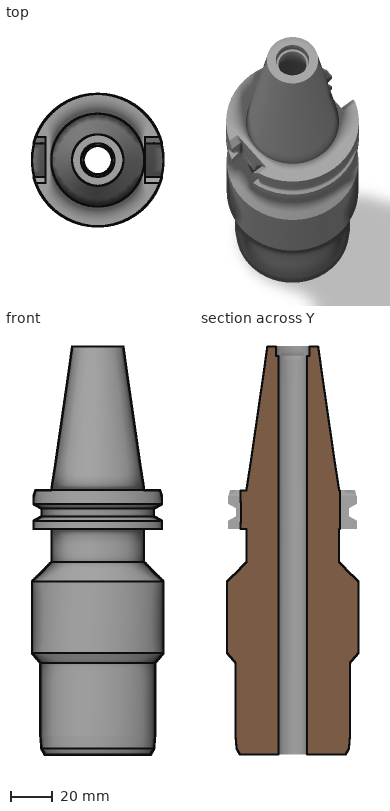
import cadquery as cq
import math

TOTAL_LENGTH = 195.25
TAPER_LENGTH = 68.25
GAUGE_RADIUS = 44.45 / 2
TAPER_PER_LENGTH = 7 / 24
GAUGE_Z = TOTAL_LENGTH - TAPER_LENGTH
TAPER_TOP_RADIUS = GAUGE_RADIUS - TAPER_LENGTH * TAPER_PER_LENGTH / 2

FLANGE_RADIUS = 63.5 / 2
GAUGE_TO_FLANGE_TOP = 0.5
GAUGE_TO_GROOVE_CENTRE = 11.15
GAUGE_TO_FLANGE_BOTTOM = 19.05
FLANGE_TOP_Z = GAUGE_Z - GAUGE_TO_FLANGE_TOP
GROOVE_CENTRE_Z = GAUGE_Z - GAUGE_TO_GROOVE_CENTRE
FLANGE_BOTTOM_Z = GAUGE_Z - GAUGE_TO_FLANGE_BOTTOM
GROOVE_FLOOR_RADIUS = 56.3 / 2
GROOVE_FLOOR_WIDTH = 3.8
GROOVE_WALL_ANGLE = 30

KEYWAY_WIDTH = 16.1
KEYWAY_CHAMFER = 3.0
DEEP_KEYWAY_FLOOR = 22.6
SHALLOW_KEYWAY_FLOOR = 25.0
SPOT_DIAMETER = 10.0
SPOT_DEPTH = 0.1

NECK_RADIUS = GAUGE_RADIUS
BODY_RADIUS = 63.0 / 2
SHOULDER_TOP_Z = 92.2
SHOULDER_BOTTOM_Z = SHOULDER_TOP_Z - (BODY_RADIUS - NECK_RADIUS)
BODY_BOTTOM_Z = 48.6
NOSE_TOP_Z = 44.0
NOSE_RADIUS = 55.0 / 2
NOSE_TAPER_TOP_Z = 9.0
NOSE_TAPER_BOTTOM_RADIUS = 54.0 / 2
NOSE_CHAMFER_HEIGHT = 3.0
NOSE_END_RADIUS = 50.5 / 2

BORE_DIAMETER = 13.5
COUNTERBORE_DIAMETER = 16.0
COUNTERBORE_DEPTH = 4.5


def make_body():
    """Revolve the half profile of the holder about Z, starting from the +Y side."""
    groove_depth = FLANGE_RADIUS - GROOVE_FLOOR_RADIUS
    half_floor = GROOVE_FLOOR_WIDTH / 2
    half_mouth = half_floor + groove_depth * math.tan(math.radians(GROOVE_WALL_ANGLE))
    profile = [
        (0, 0),
        (NOSE_END_RADIUS, 0),
        (NOSE_TAPER_BOTTOM_RADIUS, NOSE_CHAMFER_HEIGHT),
        (NOSE_RADIUS, NOSE_TAPER_TOP_Z),
        (NOSE_RADIUS, NOSE_TOP_Z),
        (BODY_RADIUS, BODY_BOTTOM_Z),
        (BODY_RADIUS, SHOULDER_BOTTOM_Z),
        (NECK_RADIUS, SHOULDER_TOP_Z),
        (NECK_RADIUS, FLANGE_BOTTOM_Z),
        (FLANGE_RADIUS, FLANGE_BOTTOM_Z),
        (FLANGE_RADIUS, GROOVE_CENTRE_Z - half_mouth),
        (GROOVE_FLOOR_RADIUS, GROOVE_CENTRE_Z - half_floor),
        (GROOVE_FLOOR_RADIUS, GROOVE_CENTRE_Z + half_floor),
        (FLANGE_RADIUS, GROOVE_CENTRE_Z + half_mouth),
        (FLANGE_RADIUS, FLANGE_TOP_Z),
        (GAUGE_RADIUS, FLANGE_TOP_Z),
        (GAUGE_RADIUS, GAUGE_Z),
        (TAPER_TOP_RADIUS, TOTAL_LENGTH),
        (0, TOTAL_LENGTH),
    ]
    return cq.Workplane("YZ").polyline(profile).close().revolve(360, (0, 0), (0, 1))


def make_keyway(side, floor_distance):
    """Slot through the flange, chamfered at its upper edges; side is +1 (+X) or -1 (-X)."""
    half_width = KEYWAY_WIDTH / 2
    half_mouth = half_width + KEYWAY_CHAMFER
    section = [
        (-half_width, FLANGE_BOTTOM_Z),
        (half_width, FLANGE_BOTTOM_Z),
        (half_width, FLANGE_TOP_Z - KEYWAY_CHAMFER),
        (half_mouth, FLANGE_TOP_Z),
        (-half_mouth, FLANGE_TOP_Z),
        (-half_width, FLANGE_TOP_Z - KEYWAY_CHAMFER),
    ]
    return (
        cq.Workplane("YZ", origin=(side * floor_distance, 0, 0))
        .polyline(section)
        .close()
        .extrude(side * FLANGE_RADIUS)
    )


def make_spot():
    """Shallow round spot in the floor of the -X keyway, level with the groove."""
    return (
        cq.Workplane("YZ", origin=(-SHALLOW_KEYWAY_FLOOR, 0, GROOVE_CENTRE_Z))
        .circle(SPOT_DIAMETER / 2)
        .extrude(SPOT_DEPTH)
    )


def make_bore():
    """Through bore with a counterbore at the small end of the taper."""
    bore = cq.Workplane("XY").circle(BORE_DIAMETER / 2).extrude(TOTAL_LENGTH)
    counterbore = (
        cq.Workplane("XY", origin=(0, 0, TOTAL_LENGTH))
        .circle(COUNTERBORE_DIAMETER / 2)
        .extrude(-COUNTERBORE_DEPTH)
    )
    return bore.union(counterbore)


result = (
    make_body()
    .cut(make_keyway(1, DEEP_KEYWAY_FLOOR))
    .cut(make_keyway(-1, SHALLOW_KEYWAY_FLOOR))
    .cut(make_spot())
    .cut(make_bore())
)